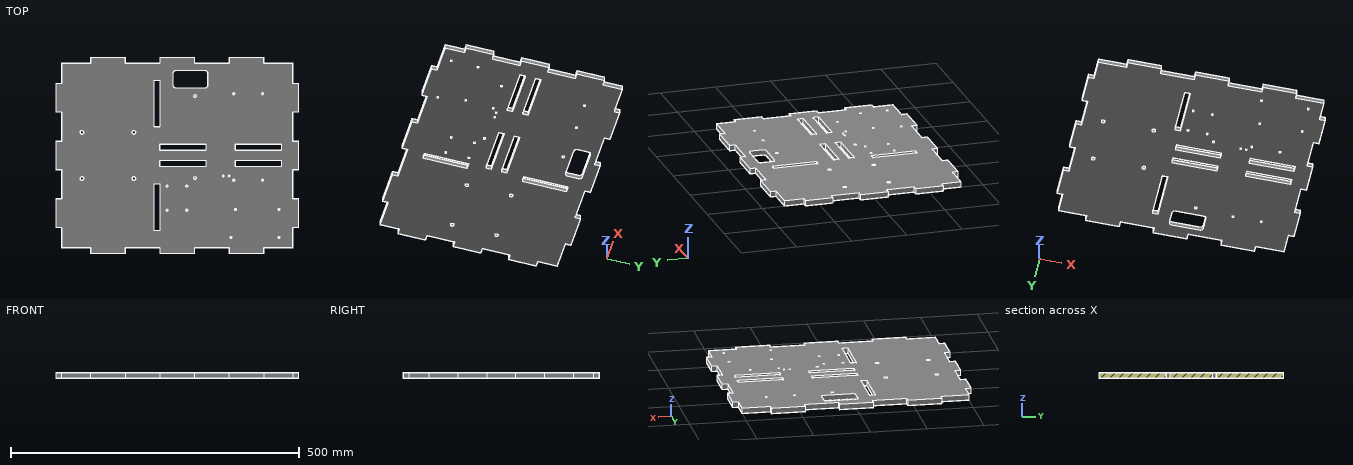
import cadquery as cq

BODY_LENGTH = 400.4
BODY_WIDTH = 320.0
THICKNESS = 10.0
TAB_DEPTH = 10.0
TABS_PER_EDGE = 3
LONG_EDGE_TAB = 60.0
SHORT_EDGE_TAB = 50.0
LONG_EDGE_PITCH = 2 * LONG_EDGE_TAB
SHORT_EDGE_PITCH = 2 * SHORT_EDGE_TAB

SLOT_LENGTH = 80.0
SLOT_WIDTH = THICKNESS
CROSS_SLOT_X = -35.2
CROSS_SLOT_Y = 89.8
LENGTHWISE_SLOT_XS = (9.8, 140.6)
LENGTHWISE_SLOT_Y = 14.0

WINDOW_LENGTH = 60.0
WINDOW_WIDTH = 30.0
WINDOW_CENTER = (22.8, 132.0)
WINDOW_CORNER_RADIUS = 5.0

LARGE_HOLE_DIAMETER = 6.0
LARGE_HOLE_CENTER = (-120.2, 0.0)
LARGE_HOLE_SPACING = (90.0, 80.0)

MEDIUM_HOLE_DIAMETER = 4.0
MEDIUM_HOLE_X = 30.8
MEDIUM_HOLE_YS = (102.9, -39.2)

SMALL_HOLE_DIAMETER = 3.0
TALL_PATTERN_CENTER = (122.8, 32.0)
TALL_PATTERN_SPACING = (50.0, 150.0)
SMALL_PATTERN_CENTER = (-0.55, -74.15)
SMALL_PATTERN_SPACING = (34.0, 41.8)
BOARD_HOLES = ((93.35, -142.2), (176.1, -142.2), (100.9, -93.8), (176.1, -93.8))

TINY_HOLE_DIAMETER = 2.4
TINY_HOLE_XS = (79.8, 89.8)
TINY_HOLE_Y = -35.5


def box_at(length, width, center):
    """Full-thickness block centred on a point, standing on Z = 0."""
    block = cq.Workplane("XY").box(length, width, THICKNESS, centered=(True, True, False))
    return block.translate((center[0], center[1], 0))


def rectangle_points(center, spacing):
    """Corners of a rectangle given its centre and side lengths."""
    return [
        (center[0] + side_x * spacing[0] / 2, center[1] + side_y * spacing[1] / 2)
        for side_x in (-1, 1)
        for side_y in (-1, 1)
    ]


def tabbed_plate():
    """Body crossed by strips whose ends stick out as the edge tabs."""
    plate = box_at(BODY_LENGTH, BODY_WIDTH, (0, 0))
    for index in range(TABS_PER_EDGE):
        step = index - (TABS_PER_EDGE - 1) / 2
        long_edge_strip = box_at(LONG_EDGE_TAB, BODY_WIDTH + 2 * TAB_DEPTH, (step * LONG_EDGE_PITCH, 0))
        short_edge_strip = box_at(BODY_LENGTH + 2 * TAB_DEPTH, SHORT_EDGE_TAB, (0, step * SHORT_EDGE_PITCH))
        plate = plate.union(long_edge_strip).union(short_edge_strip)
    return plate.clean()


def cut_slots(plate):
    """Two slots across the plate and two pairs of slots along it."""
    for side in (-1, 1):
        plate = plate.cut(box_at(SLOT_WIDTH, SLOT_LENGTH, (CROSS_SLOT_X, side * CROSS_SLOT_Y)))
        for slot_x in LENGTHWISE_SLOT_XS:
            plate = plate.cut(box_at(SLOT_LENGTH, SLOT_WIDTH, (slot_x, side * LENGTHWISE_SLOT_Y)))
    return plate


def cut_window(plate):
    """Rectangular window with rounded corners."""
    window = box_at(WINDOW_LENGTH, WINDOW_WIDTH, WINDOW_CENTER)
    return plate.cut(window.edges("|Z").fillet(WINDOW_CORNER_RADIUS))


def drill(plate, diameter, points):
    """Through holes of one diameter at the given points."""
    drills = cq.Workplane("XY").pushPoints(points).circle(diameter / 2).extrude(THICKNESS)
    return plate.cut(drills)


medium_holes = [(MEDIUM_HOLE_X, hole_y) for hole_y in MEDIUM_HOLE_YS]
tiny_holes = [(hole_x, TINY_HOLE_Y) for hole_x in TINY_HOLE_XS]

result = cut_window(cut_slots(tabbed_plate()))
result = drill(result, LARGE_HOLE_DIAMETER, rectangle_points(LARGE_HOLE_CENTER, LARGE_HOLE_SPACING))
result = drill(result, MEDIUM_HOLE_DIAMETER, medium_holes)
result = drill(result, SMALL_HOLE_DIAMETER, rectangle_points(TALL_PATTERN_CENTER, TALL_PATTERN_SPACING))
result = drill(result, SMALL_HOLE_DIAMETER, rectangle_points(SMALL_PATTERN_CENTER, SMALL_PATTERN_SPACING))
result = drill(result, SMALL_HOLE_DIAMETER, BOARD_HOLES)
result = drill(result, TINY_HOLE_DIAMETER, tiny_holes)